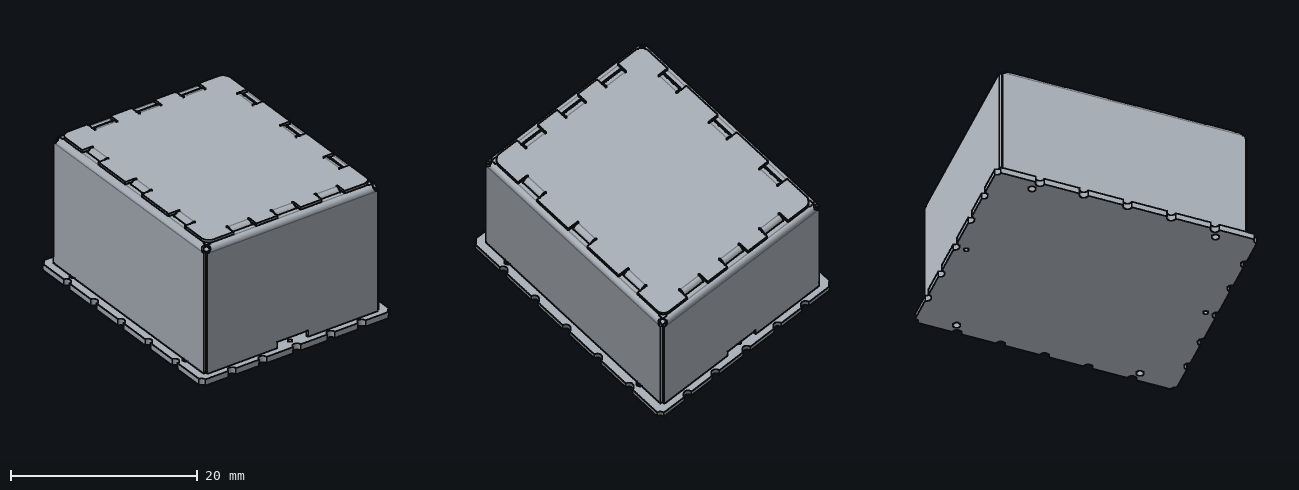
import cadquery as cq
import math

base_length = 30.0
base_width = 25.0
total_height = 16.92

base_thickness = 0.8
notch_diameter = 1.0
notch_pitch_x = 5.0
notch_places_x = [i * notch_pitch_x for i in (-2, -1, 0, 1, 2)]
notch_places_y = [-8.5, -4.47, 0.0, 4.47, 8.5]
large_hole_diameter = 0.8
large_hole_x = 10.5
large_hole_y = 11.35
small_hole_diameter = 0.5
small_hole_x = 13.7

can_length = 28.4
can_width = 22.95
can_sheet = 0.33
bend_radius = 0.65
corner_setback = 0.3
bend_setback = 0.57
relief_diameter = 0.8
relief_reach = 0.8
window_width = 4.02
window_height = 0.78

lid_length = can_length - 2 * bend_radius
lid_width = can_width - 2 * bend_radius
lid_thickness = 0.33
lid_corner_radius = 1.0
cutout_width = 3.0
cutout_depth = 1.38
tab_width = 2.7
tab_bend_start = 1.3
tab_bend_radius = 0.75
flange_under_lid = 0.5
tab_pitch_x = 8.0
tab_pitch_y = 5.8

can_top = total_height - lid_thickness

half_turn = math.sqrt(0.5)


def place_on_side(body, turns):
    """Turn a body made on the +X side by quarter turns about Z."""
    return body.rotate((0, 0, 0), (0, 0, 1), 90 * turns)


def make_base():
    plate = cq.Workplane("XY").box(base_length, base_width, base_thickness, centered=(True, True, False))
    edge_x = base_length / 2
    edge_y = base_width / 2
    notches = [(x, side * edge_y) for x in notch_places_x for side in (-1, 1)]
    notches += [(side * edge_x, y) for y in notch_places_y for side in (-1, 1)]
    notches += [(sx * edge_x, sy * edge_y) for sx in (-1, 1) for sy in (-1, 1)]
    large_holes = [(sx * large_hole_x, sy * large_hole_y) for sx in (-1, 1) for sy in (-1, 1)]
    small_holes = [(-small_hole_x, 0), (small_hole_x, 0)]
    for points, diameter in (
        (notches, notch_diameter),
        (large_holes, large_hole_diameter),
        (small_holes, small_hole_diameter),
    ):
        cutter = cq.Workplane("XY").pushPoints(points).circle(diameter / 2).extrude(base_thickness)
        plate = plate.cut(cutter)
    return plate


def make_wall(reach, side_length, flange_end):
    """Wall on the +X side: outer face at x = reach, flange folded inward to x = flange_end."""
    bend_z = can_top - bend_radius
    bend_x = reach - bend_radius
    inner_radius = bend_radius - can_sheet

    upright_length = side_length - 2 * corner_setback
    upright = (
        cq.Workplane("XY", origin=(reach - can_sheet / 2, 0, base_thickness))
        .box(can_sheet, upright_length, bend_z - base_thickness, centered=(True, True, False))
    )
    fold = (
        cq.Workplane("XZ")
        .moveTo(reach, bend_z)
        .threePointArc(
            (bend_x + bend_radius * half_turn, bend_z + bend_radius * half_turn), (bend_x, can_top)
        )
        .lineTo(flange_end, can_top)
        .lineTo(flange_end, can_top - can_sheet)
        .lineTo(bend_x, can_top - can_sheet)
        .threePointArc(
            (bend_x + inner_radius * half_turn, bend_z + inner_radius * half_turn),
            (reach - can_sheet, bend_z),
        )
        .close()
        .extrude(side_length / 2 - bend_setback, both=True)
    )
    for side in (-1, 1):
        relief_y = side * (side_length / 2 - relief_reach + relief_diameter / 2)
        relief_plane = cq.Plane(origin=(bend_x, relief_y, bend_z), xDir=(0, 1, 0), normal=(1, 0, 1))
        relief = cq.Workplane(relief_plane).circle(relief_diameter / 2).extrude(2 * bend_radius)
        fold = fold.cut(relief)
    return upright.union(fold)


def make_can():
    side_wall = make_wall(can_length / 2, can_width, lid_length / 2 - flange_under_lid)
    front_wall = make_wall(can_width / 2, can_length, lid_width / 2 - flange_under_lid)
    can = place_on_side(side_wall, 0)
    for wall, turns in ((front_wall, 1), (side_wall, 2), (front_wall, 3)):
        can = can.union(place_on_side(wall, turns))
    window = (
        cq.Workplane("XY", origin=(0, 0, base_thickness))
        .box(can_length, window_width, window_height, centered=(True, True, False))
    )
    return can.cut(window)


def make_cutout(lid_reach, place):
    """Opening in the +X lid edge around one tab."""
    return (
        cq.Workplane("XY", origin=(lid_reach - cutout_depth / 2, place, can_top))
        .box(cutout_depth, cutout_width, lid_thickness, centered=(True, True, False))
    )


def make_tab(lid_reach, place):
    """Tab on the +X lid edge, bent down a quarter turn just inside the flange."""
    root_x = lid_reach - cutout_depth
    bend_x = lid_reach - tab_bend_start
    bend_z = total_height - tab_bend_radius
    inner_radius = tab_bend_radius - lid_thickness
    return (
        cq.Workplane("XZ", origin=(0, place, 0))
        .moveTo(root_x, total_height)
        .lineTo(bend_x, total_height)
        .threePointArc(
            (bend_x + tab_bend_radius * half_turn, bend_z + tab_bend_radius * half_turn),
            (bend_x + tab_bend_radius, bend_z),
        )
        .lineTo(bend_x + inner_radius, bend_z)
        .threePointArc(
            (bend_x + inner_radius * half_turn, bend_z + inner_radius * half_turn), (bend_x, can_top)
        )
        .lineTo(root_x, can_top)
        .close()
        .extrude(tab_width / 2, both=True)
    )


def make_lid():
    lid = (
        cq.Workplane("XY", origin=(0, 0, can_top))
        .box(lid_length, lid_width, lid_thickness, centered=(True, True, False))
        .edges("|Z")
        .fillet(lid_corner_radius)
    )
    for turns in range(4):
        along_y = turns % 2 == 0
        lid_reach = (lid_length if along_y else lid_width) / 2
        pitch = tab_pitch_y if along_y else tab_pitch_x
        for step in (-1, 0, 1):
            lid = lid.cut(place_on_side(make_cutout(lid_reach, step * pitch), turns))
            lid = lid.union(place_on_side(make_tab(lid_reach, step * pitch), turns))
    return lid


result = make_base().union(make_can()).union(make_lid())